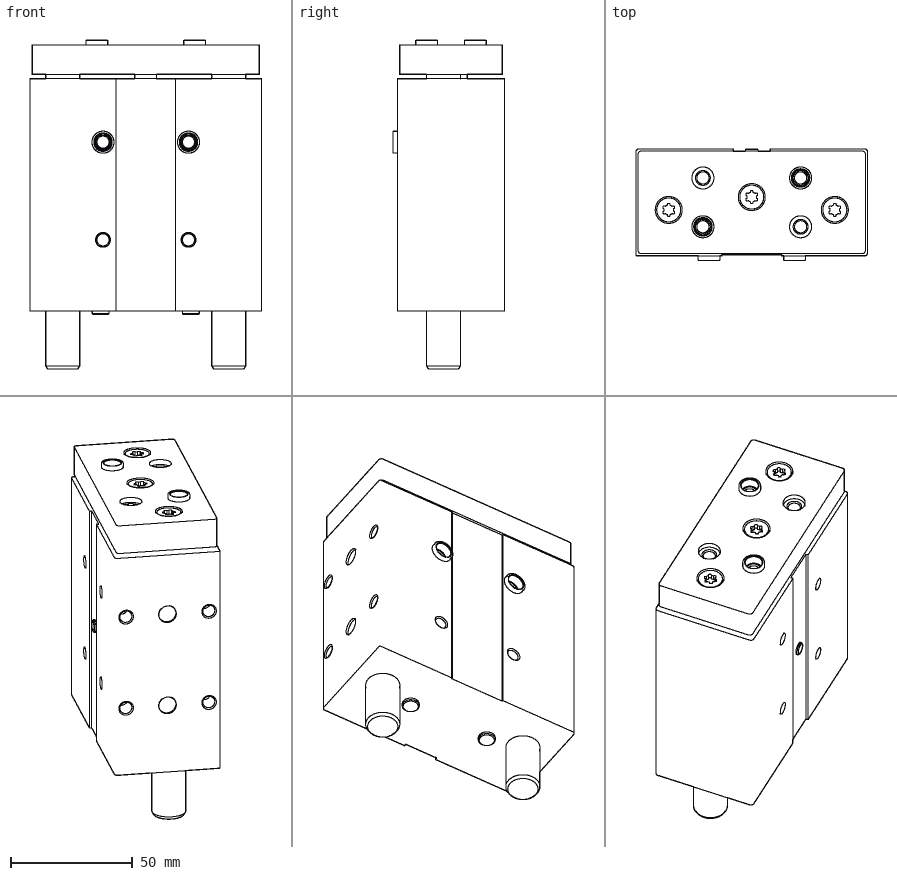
import cadquery as cq
import math


overall_height = 134.8
sleeve_projection = 1.9
plate_height = 12.1
plate_gap = 1.8
housing_bottom = 23.7
plate_top = overall_height - sleeve_projection
plate_bottom = plate_top - plate_height
housing_top = plate_bottom - plate_gap
housing_height = housing_top - housing_bottom

housing_width = 95.0
housing_depth = 44.0
corner_radius = 1.3
sharp_corner_radius = 0.5
front_groove_width = 24.5
front_groove_depth = 0.4
rear_groove_width = 15.0
plate_inset = 1.0
rear_groove_depth = plate_inset
front_face = -housing_depth / 2
rear_face = housing_depth / 2
left_face = -housing_width / 2

plate_width = housing_width - 2 * plate_inset
plate_depth = housing_depth - 2 * plate_inset
plate_corner_radius = 1.3

guide_spacing = 68.1
guide_y = -3.1
guide_diameter = 14.0
guide_chamfer = 0.8
guide_chamfer_length = 1.3
piston_y = 2.2
piston_rod_diameter = 9.0
piston_rod_depth = 80.9

seat_diameter = 11.0
head_diameter = 9.8
neck_diameter = 7.0
seat_depth = 5.4
head_recess = 0.4
socket_depth = 2.0
socket_core_diameter = 4.0
lobe_count = 6
lobe_diameter = 1.2
lobe_circle_diameter = 4.2

thread_diameter = 5.0
countersink_diameter = 6.0
countersink_depth = (countersink_diameter - thread_diameter) / 2
drill_tip_angle = 118.0
sleeve_diameter = 9.0
sleeve_bore = 7.0
sleeve_edge_radius = 0.4
sleeve_bore_chamfer = 0.3
sleeve_recess = 2.2
hole_pitch = 40.0
plate_hole_pitch_y = hole_pitch / 2
front_hole_pitch_x = 35.0
upper_row_z = 93.0
lower_row_z = upper_row_z - hole_pitch
side_hole_pitch_y = 34.6
side_hole_depth = 10.0

port_diameter = 7.3
port_depth = 1.0
pad_diameter = 7.0
pad_height = 1.3
pad_chamfer = 0.4
pad_spacing = 37.0
plug_diameter = 5.3
plug_chamfer = 0.4

plate_hole_points = [
    (x * hole_pitch / 2, y * plate_hole_pitch_y / 2) for x in (-1, 1) for y in (-1, 1)
]
plate_sleeve_points = [(x, y) for x, y in plate_hole_points if x * y > 0]
guide_x_places = [-guide_spacing / 2, guide_spacing / 2]
rod_points = [(0, piston_y)] + [(x, guide_y) for x in guide_x_places]
front_x_places = [-front_hole_pitch_x / 2, front_hole_pitch_x / 2]
row_heights = [upper_row_z, lower_row_z]


def cylinder(start, direction, diameter, length):
    """Solid cylinder from a start point along a direction."""
    return cq.Workplane(cq.Solid.makeCylinder(
        diameter / 2, length, cq.Vector(*start), cq.Vector(*direction)))


def countersink(start, direction):
    """Conical entry of a threaded hole."""
    return cq.Workplane(cq.Solid.makeCone(
        countersink_diameter / 2, thread_diameter / 2, countersink_depth,
        cq.Vector(*start), cq.Vector(*direction)))


def drill_tip(start, direction):
    """Conical bottom of a blind hole."""
    half_angle = math.radians(drill_tip_angle / 2)
    length = thread_diameter / 2 / math.tan(half_angle)
    return cq.Workplane(cq.Solid.makeCone(
        thread_diameter / 2, 0, length, cq.Vector(*start), cq.Vector(*direction)))


def rounded_block():
    """Housing block, with its front left edge nearly sharp."""
    block = cq.Workplane("XY").workplane(offset=housing_bottom).rect(
        housing_width, housing_depth).extrude(housing_height)
    block = block.edges("|Z and (>X or >Y)").fillet(corner_radius)
    return block.edges("|Z and <X and <Y").fillet(sharp_corner_radius)


def groove(width, depth, face_y):
    """Full-height groove in the front or rear face."""
    section = cq.Workplane("XY", origin=(0, face_y, housing_bottom)).rect(width, 2 * depth)
    return section.extrude(housing_height)


def make_housing():
    body = rounded_block()
    body = body.cut(groove(front_groove_width, front_groove_depth, front_face))
    body = body.cut(groove(rear_groove_width, rear_groove_depth, rear_face))

    backward = (0, 1, 0)
    for x in front_x_places:
        for z in row_heights:
            body = body.cut(cylinder((x, front_face, z), backward, thread_diameter, housing_depth))
        recess_floor = (x, front_face + sleeve_recess, upper_row_z)
        body = body.cut(cylinder((x, front_face, upper_row_z), backward, sleeve_diameter, sleeve_recess))
        body = body.cut(countersink(recess_floor, backward))
        body = body.cut(countersink((x, front_face, lower_row_z), backward))

    inward = (1, 0, 0)
    for z in row_heights:
        body = body.cut(cylinder((left_face, 0, z), inward, port_diameter, port_depth))
        for y in (-side_hole_pitch_y / 2, side_hole_pitch_y / 2):
            body = body.cut(cylinder((left_face, y, z), inward, thread_diameter, side_hole_depth))
            body = body.cut(countersink((left_face, y, z), inward))
            body = body.cut(drill_tip((left_face + side_hole_depth, y, z), inward))

    for x in guide_x_places:
        body = body.cut(cylinder((x, guide_y, housing_bottom), (0, 0, 1), guide_diameter, housing_height))
    body = body.cut(cylinder((0, piston_y, housing_top), (0, 0, -1), piston_rod_diameter, piston_rod_depth))

    for x in (-pad_spacing / 2, pad_spacing / 2):
        pad = cylinder((x, 0, housing_bottom), (0, 0, -1), pad_diameter, pad_height)
        body = body.union(pad.faces("<Z").chamfer(pad_chamfer))
    return body


def make_plate():
    plate = cq.Workplane("XY").workplane(offset=plate_bottom).rect(
        plate_width, plate_depth).extrude(plate_height)
    plate = plate.edges("|Z").fillet(plate_corner_radius)
    down = (0, 0, -1)
    for x, y in plate_hole_points:
        plate = plate.cut(cylinder((x, y, plate_top), down, sleeve_diameter, sleeve_recess))
        plate = plate.cut(countersink((x, y, plate_top - sleeve_recess), down))
        plate = plate.cut(cylinder((x, y, plate_top), down, thread_diameter, plate_height))
    for x, y in rod_points:
        plate = plate.cut(cylinder((x, y, plate_top), down, seat_diameter, seat_depth))
        plate = plate.cut(cylinder((x, y, plate_top), down, neck_diameter, plate_height))
    return plate


def make_screw_end(x, y):
    """Neck and head that hold a rod in the plate, with a six-lobed socket."""
    head_top = plate_top - head_recess
    neck = cylinder((x, y, plate_bottom), (0, 0, 1), neck_diameter, plate_height - seat_depth)
    head = cylinder((x, y, plate_top - seat_depth), (0, 0, 1), head_diameter, seat_depth - head_recess)
    socket_floor = cq.Workplane("XY", origin=(x, y, head_top - socket_depth))
    core = socket_floor.circle(socket_core_diameter / 2).extrude(socket_depth)
    lobes = socket_floor.polarArray(lobe_circle_diameter / 2, 90, 360, lobe_count).circle(
        lobe_diameter / 2).extrude(socket_depth)
    return neck.union(head).cut(core).cut(lobes)


def make_guide_rod(x):
    shaft = cylinder((x, guide_y, 0), (0, 0, 1), guide_diameter, plate_bottom)
    shaft = shaft.faces("<Z").edges().chamfer(guide_chamfer_length, guide_chamfer)
    return shaft.union(make_screw_end(x, guide_y))


def make_piston_rod():
    length = plate_gap + piston_rod_depth
    shaft = cylinder((0, piston_y, plate_bottom), (0, 0, -1), piston_rod_diameter, length)
    return shaft.union(make_screw_end(0, piston_y))


def make_sleeve(start, direction):
    """Centring sleeve standing on the recess floor at the start point."""
    length = sleeve_recess + sleeve_projection
    blank = cq.Workplane("XY").circle(sleeve_diameter / 2).extrude(length)
    blank = blank.faces(">Z").edges().fillet(sleeve_edge_radius)
    bore = cq.Workplane("XY").circle(sleeve_bore / 2).extrude(length)
    bore_edge = blank.cut(bore).faces(">Z").edges(cq.selectors.RadiusNthSelector(0))
    sleeve = bore_edge.chamfer(sleeve_bore_chamfer)
    plane = cq.Plane(origin=start, xDir=(1, 0, 0), normal=direction)
    return cq.Workplane(sleeve.val().located(cq.Location(plane)))


def make_rear_plug():
    """Plug on the floor of the rear groove, flush with the rear face."""
    middle_z = housing_bottom + housing_height / 2
    floor = (0, rear_face - rear_groove_depth, middle_z)
    plug = cylinder(floor, (0, 1, 0), plug_diameter, rear_groove_depth)
    return plug.faces(">Y").chamfer(plug_chamfer)


housing = make_housing()
plate = make_plate()
guide_rods = [make_guide_rod(x) for x in guide_x_places]
piston_rod = make_piston_rod()
plate_sleeves = [make_sleeve((x, y, plate_top - sleeve_recess), (0, 0, 1)) for x, y in plate_sleeve_points]
front_sleeves = [
    make_sleeve((x, front_face + sleeve_recess, upper_row_z), (0, -1, 0)) for x in front_x_places
]
rear_plug = make_rear_plug()

bodies = [housing, plate, *guide_rods, piston_rod, *plate_sleeves, *front_sleeves, rear_plug]
result = cq.Compound.makeCompound([body.val() for body in bodies])